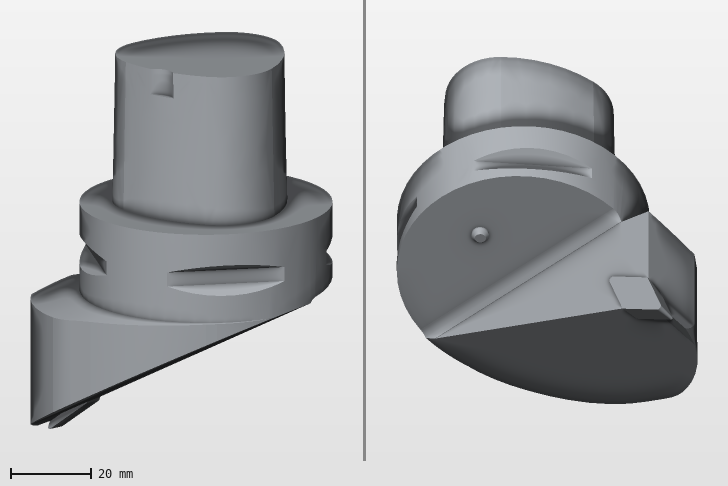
import cadquery as cq
import math


cutter_overrun = 1.0

shank_height = 38.0
lobe_reach = 23.4
flat_reach = 20.2
lobe_radius = 14.4
shank_inset = 0.7
notch_depth = 6.5
notch_radius = 4.8
notch_axis_y = -22.7

flange_diameter = 63.0
flange_radius = flange_diameter / 2
flange_height = 22.8
slot_floor_reach = 27.8
slot_mid_z = -11.9
slot_floor_width = 3.6
slot_mouth_width = 7.8

seat_face_y = -0.5
relief_outer_z = -18.0
relief_slope = 4.5
relief_fillet = 3.3

stud_diameter = 4.4
stud_y = 16.6
stud_tip_z = -20.8
stud_chamfer = 0.8
stud_length = 5.2

arm_left_x = -40.4
arm_front_y = -36.5
shoulder_slope = 15.0
belly_slope = 28.1
belly_right_z = -21.4
nose_x = -43.6
nose_z = -62.2
nose_fillet = 7.2
wall_end_y = -10.9
wall_middle = (-37.2, -23.1)
wall_end = (-21.9, -35.2)
corner_middle = (-19.0, -36.2)
front_flat_left_x = -15.7
front_flat_right_x = -9.7
sweep_middle = (4.8, -34.2)
sweep_end = (18.4, -26.5)
bridge_end = (20.5, -24.7)
blend_middle = (25.0, -19.8)
blend_end = (28.4, -13.7)
shoulder_reach = 51.5

tool_bottom_z = -65.0
tool_left_x = flange_radius - 76.5
insert_angle = 35.0
insert_tilt = 37.0
insert_side = 16.6
insert_nose_radius = 0.8
insert_top_y = 0.2
insert_thickness = 5.0
insert_clearance = 5.0


def polar(radius, degrees):
    angle = math.radians(degrees)
    return radius * math.cos(angle), radius * math.sin(angle)


def lobed_outline(z, inset):
    """Three lobes joined by three shallow sides, all arcs tangent."""
    lobe_centre = lobe_reach - lobe_radius
    radius_gap = flat_reach - lobe_radius
    side_centre = (lobe_centre**2 - radius_gap**2) / (2 * radius_gap - lobe_centre)
    side_radius = side_centre + flat_reach - inset
    spread = math.degrees(math.atan2(lobe_centre * math.cos(math.radians(30)),
                                     side_centre + lobe_centre / 2))

    def side_end(middle, turn):
        centre = polar(side_centre, middle + 180)
        reach = polar(side_radius, middle + turn)
        return centre[0] + reach[0], centre[1] + reach[1]

    outline = cq.Workplane("XY", origin=(0, 0, z)).moveTo(*side_end(-90, -spread))
    for middle in (-90, 30, 150):
        outline = outline.threePointArc(polar(flat_reach - inset, middle), side_end(middle, spread))
        outline = outline.threePointArc(polar(lobe_reach - inset, middle + 60),
                                        side_end(middle + 120, -spread))
    return outline.close().wires().val()


def make_shank():
    shank = cq.Workplane(cq.Solid.makeLoft(
        [lobed_outline(0, 0), lobed_outline(shank_height, shank_inset)], True))
    notch = (cq.Workplane("XY", origin=(0, notch_axis_y, shank_height - notch_depth))
             .circle(notch_radius).extrude(notch_depth))
    return shank.cut(notch)


def gripper_slot(angle):
    """Flat-bottomed groove across the flange with flared sides."""
    flare = (slot_mouth_width - slot_floor_width) / 2 / (flange_radius - slot_floor_reach)
    outer = flange_radius + cutter_overrun
    floor_half = slot_floor_width / 2
    outer_half = floor_half + flare * (outer - slot_floor_reach)
    return (cq.Workplane("XZ", origin=(0, 0, slot_mid_z))
            .polyline([(slot_floor_reach, -floor_half), (outer, -outer_half),
                       (outer, outer_half), (slot_floor_reach, floor_half)])
            .close().extrude(flange_radius, both=True)
            .rotate((0, 0, 0), (0, 0, 1), angle))


def make_flange():
    flange = cq.Workplane("XY").circle(flange_radius).extrude(-flange_height)
    for angle in (45, 135, 225, 315):
        flange = flange.cut(gripper_slot(angle))
    return flange


def make_arm():
    """Plan outline limited by the conical shoulder above and the side profile below."""
    plan = (cq.Workplane("XY")
            .moveTo(nose_x, seat_face_y)
            .lineTo(nose_x, wall_end_y)
            .threePointArc(wall_middle, wall_end)
            .threePointArc(corner_middle, (front_flat_left_x, arm_front_y))
            .lineTo(front_flat_right_x, arm_front_y)
            .threePointArc(sweep_middle, sweep_end)
            .lineTo(*bridge_end)
            .threePointArc(blend_middle, blend_end)
            .lineTo(flange_radius, seat_face_y)
            .close().extrude(tool_bottom_z))

    shoulder_drop = (shoulder_reach - flange_radius) * math.tan(math.radians(shoulder_slope))
    shoulder = (cq.Workplane("XZ")
                .polyline([(0, -flange_height), (flange_radius, -flange_height),
                           (shoulder_reach, -flange_height - shoulder_drop),
                           (shoulder_reach, tool_bottom_z), (0, tool_bottom_z)])
                .close().revolve(360, (0, 0), (0, 1)))

    belly_rise = math.tan(math.radians(belly_slope))
    edge_rise = math.tan(math.radians(insert_tilt))
    flank_rise = math.tan(math.radians(insert_tilt + insert_angle))
    belly_z_at_nose = belly_right_z - belly_rise * (flange_radius - nose_x)
    meet_run = (belly_z_at_nose - nose_z) / (edge_rise - belly_rise)
    flank_top_z = nose_z + flank_rise * (arm_left_x - nose_x)
    profile = (cq.Workplane("XZ")
               .polyline([(arm_left_x, 0), (arm_left_x, flank_top_z), (nose_x, nose_z),
                          (nose_x + meet_run, nose_z + edge_rise * meet_run),
                          (flange_radius, belly_right_z), (flange_radius, 0)])
               .close().extrude(cutter_overrun - arm_front_y)
               .edges(cq.selectors.NearestToPointSelector(
                   (arm_left_x, arm_front_y / 2, flank_top_z)))
               .fillet(nose_fillet))
    return plan.intersect(shoulder).intersect(profile)


def belly_cutter():
    """Everything below the sloping underside, to trim the rim of the flange."""
    rise = math.tan(math.radians(belly_slope))
    meet_x = flange_radius - (flange_height + belly_right_z) / rise
    return (cq.Workplane("XZ")
            .polyline([(meet_x, -flange_height), (flange_radius, belly_right_z),
                       (flange_radius, -flange_height)])
            .close().extrude(flange_radius, both=True))


def relief_cutter():
    """Space below the +Y half, rounded where it meets the arm face."""
    inner_z = relief_outer_z - (flange_radius - seat_face_y) * math.tan(math.radians(relief_slope))
    return (cq.Workplane("YZ")
            .polyline([(seat_face_y, inner_z), (flange_radius, relief_outer_z),
                       (flange_radius, tool_bottom_z), (seat_face_y, tool_bottom_z)])
            .close().extrude(2 * flange_radius, both=True)
            .edges(cq.selectors.NearestToPointSelector((0, seat_face_y, inner_z)))
            .fillet(relief_fillet))


def make_stud():
    return (cq.Workplane("XY", origin=(0, stud_y, stud_tip_z))
            .circle(stud_diameter / 2).extrude(stud_length)
            .faces("<Z").chamfer(stud_chamfer))


def make_insert():
    """Rhombic plate in the XZ plane, narrowing toward -Y."""
    upper_edge = insert_tilt + insert_angle
    nose_offset = insert_nose_radius / math.sin(math.radians(insert_angle / 2))
    nose_shift = polar(nose_offset, insert_tilt + insert_angle / 2)
    tip_x = tool_left_x + insert_nose_radius - nose_shift[0]
    tip_z = tool_bottom_z + insert_nose_radius - nose_shift[1]
    lower = polar(insert_side, insert_tilt)
    upper = polar(insert_side, upper_edge)
    far_x = tip_x + lower[0] + upper[0]
    far_z = tip_z + lower[1] + upper[1]
    blank = (cq.Sketch()
             .polygon([(tip_x, tip_z), (tip_x + lower[0], tip_z + lower[1]), (far_x, far_z),
                       (tip_x + upper[0], tip_z + upper[1]), (tip_x, tip_z)])
             .vertices("<Y or >Y").fillet(insert_nose_radius))
    return (cq.Workplane("XZ", origin=(0, insert_top_y, 0))
            .placeSketch(blank).extrude(insert_thickness, taper=insert_clearance))


insert = make_insert()
holder = (make_flange().union(make_arm())
          .cut(belly_cutter())
          .cut(relief_cutter())
          .union(make_shank())
          .union(make_stud())
          .cut(insert))

result = cq.Compound.makeCompound([holder.solids().val(), insert.solids().val()])